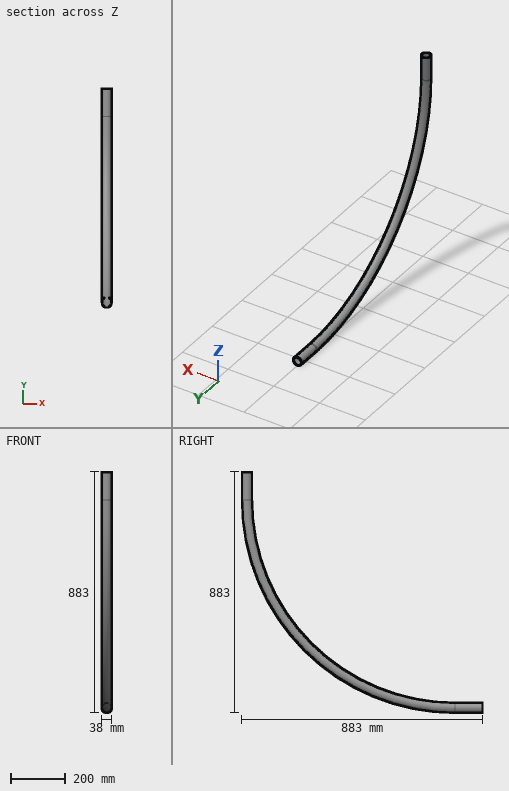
import cadquery as cq

overall_size = 883.0
outer_diameter = 38.0
inner_diameter = 32.0
straight_length = 101.5

outer_radius = outer_diameter / 2
bend_radius = overall_size - outer_radius - straight_length


def quarter_bend_rod(diameter):
    """Round rod with two straight ends joined by a 90 degree bend."""
    upright_end = cq.Workplane("XY").circle(diameter / 2).extrude(straight_length)
    bend = (
        cq.Workplane("XY")
        .circle(diameter / 2)
        .revolve(90, (0, bend_radius, 0), (1, bend_radius, 0))
    )
    level_end = (
        cq.Workplane("XZ", origin=(0, bend_radius, -bend_radius))
        .circle(diameter / 2)
        .extrude(-straight_length)
    )
    return upright_end.union(bend).union(level_end)


result = quarter_bend_rod(outer_diameter).cut(quarter_bend_rod(inner_diameter))